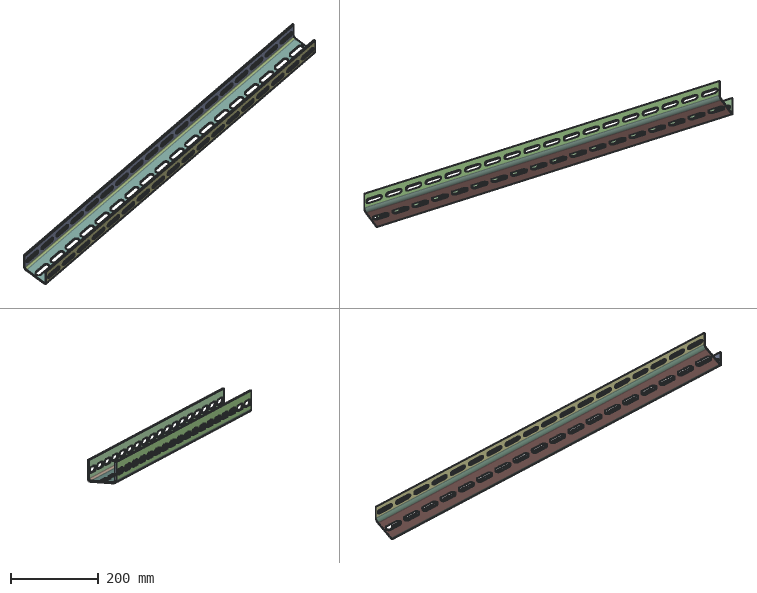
import cadquery as cq

length = 900.0
width = 70.0
height = 50.0

thickness = 4.0
inner_bend_radius = 4.5
outer_bend_radius = inner_bend_radius + thickness

slot_count = 18
slot_pitch = length / slot_count
slot_length = 40.0
slot_width = 13.5
wall_slot_height = height / 2


def rounded_block(bottom, half_width, bend_radius):
    """Full-length block from the given height to the top, with its two lower edges rounded."""
    return (
        cq.Workplane("XY", origin=(0, 0, bottom))
        .box(2 * half_width, length, height - bottom, centered=(True, True, False))
        .edges("|Y and <Z")
        .fillet(bend_radius)
    )


def channel():
    """Bent U-shaped sheet: outer block minus the space between the walls."""
    outside = rounded_block(0, width / 2, outer_bend_radius)
    inside = rounded_block(thickness, width / 2 - thickness, inner_bend_radius)
    return outside.cut(inside)


def slot_row(plane, depth):
    """Row of slot cutters along Y, reaching the given depth on both sides of the plane."""
    centers = [(0, (i - (slot_count - 1) / 2) * slot_pitch, 0) for i in range(slot_count)]
    slot = cq.Workplane(plane).slot2D(slot_length, slot_width).extrude(depth, both=True)
    row = cq.Workplane("XY")
    for center in centers:
        row = row.add(slot.translate(center))
    return row.combine()


floor_plane = cq.Plane(origin=(0, 0, 0), xDir=(0, 1, 0), normal=(0, 0, 1))
wall_plane = cq.Plane(origin=(0, 0, wall_slot_height), xDir=(0, 1, 0), normal=(1, 0, 0))

floor_slots = slot_row(floor_plane, 2 * thickness)
wall_slots = slot_row(wall_plane, width)

result = channel().cut(floor_slots).cut(wall_slots)